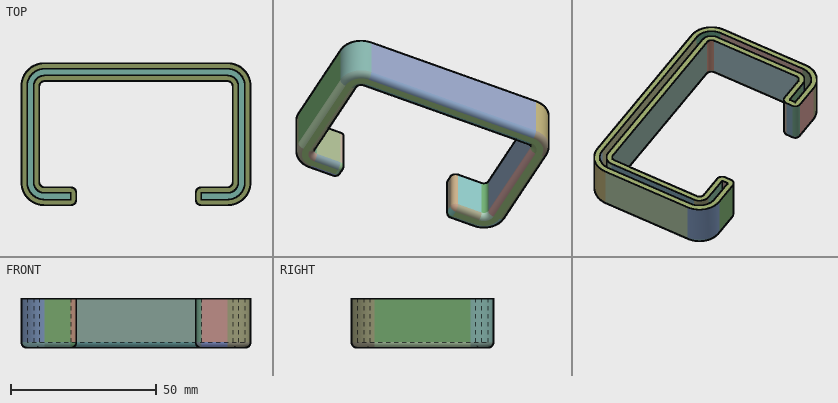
import cadquery as cq

length = 79.0
width = 49.0
height = 17.0

wall = 2.0
groove_width = 2.3
band = 2 * wall + groove_width
floor = 2.0

corner_radius = 8.0
tip_reach = 18.95
tip_radius = 2.0
bottom_radius = 2.0
selection_margin = 0.8


def rounded_block(inset, block_height):
    """Rounded rectangular block lying inside the outer outline by the inset."""
    return (
        cq.Workplane("XY")
        .rect(length - 2 * inset, width - 2 * inset)
        .extrude(block_height)
        .edges("|Z")
        .fillet(corner_radius - inset)
    )


def c_band(outer_inset, inner_inset, tip_inset, band_height):
    """C-shaped band between two insets, open in the middle of its -Y side."""
    ring = rounded_block(outer_inset, band_height).cut(rounded_block(inner_inset, band_height))
    opening_width = length - 2 * tip_reach + 2 * tip_inset
    opening = (
        cq.Workplane("XY")
        .center(0, -width / 2)
        .rect(opening_width, width / 2)
        .extrude(band_height)
    )
    return ring.cut(opening)


body = c_band(0, band, 0, height)
half_opening = length / 2 - tip_reach
tip_edges = cq.selectors.BoxSelector(
    (-half_opening - tip_radius, -width / 2 - selection_margin, -selection_margin),
    (half_opening + tip_radius, -width / 2 + band + selection_margin, height + selection_margin),
)
body = body.edges("|Z").edges(tip_edges).fillet(tip_radius)
body = body.faces("<Z").edges().fillet(bottom_radius)

groove = c_band(wall, wall + groove_width, wall, height - floor)
result = body.cut(groove.translate((0, 0, floor)))